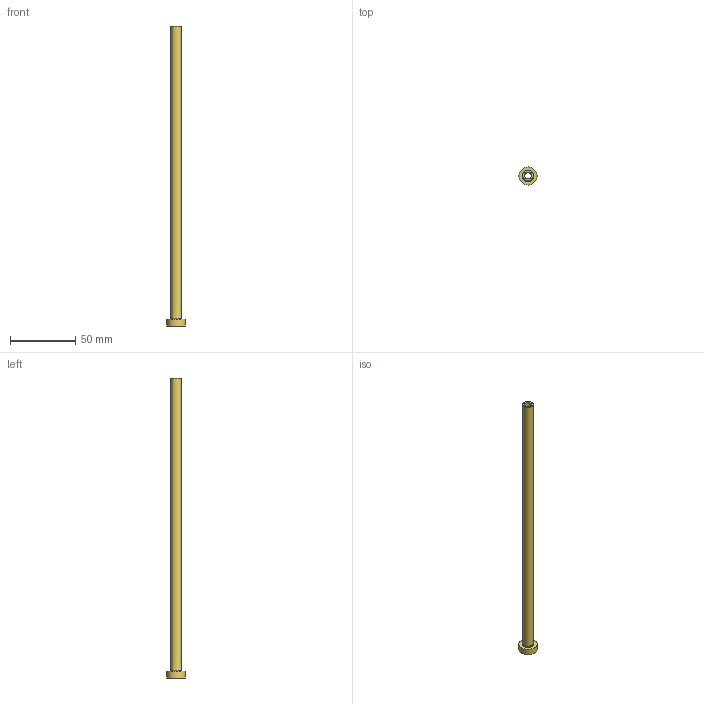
import cadquery as cq

total_length = 230.0
head_diameter = 14.0
head_height = 5.0
tube_diameter = 8.0
bore_diameter = 5.2
root_fillet_radius = 0.5

head_radius = head_diameter / 2
tube_radius = tube_diameter / 2
bore_radius = bore_diameter / 2


def sleeve_half_section():
    """Wall of the headed sleeve on the -X side of its axis, in the XZ plane."""
    return (
        cq.Workplane("XZ")
        .moveTo(-bore_radius, 0)
        .lineTo(-head_radius, 0)
        .lineTo(-head_radius, head_height)
        .lineTo(-tube_radius - root_fillet_radius, head_height)
        .radiusArc((-tube_radius, head_height + root_fillet_radius), -root_fillet_radius)
        .lineTo(-tube_radius, total_length)
        .lineTo(-bore_radius, total_length)
        .close()
    )


result = sleeve_half_section().revolve(360, (0, 0), (0, 1))